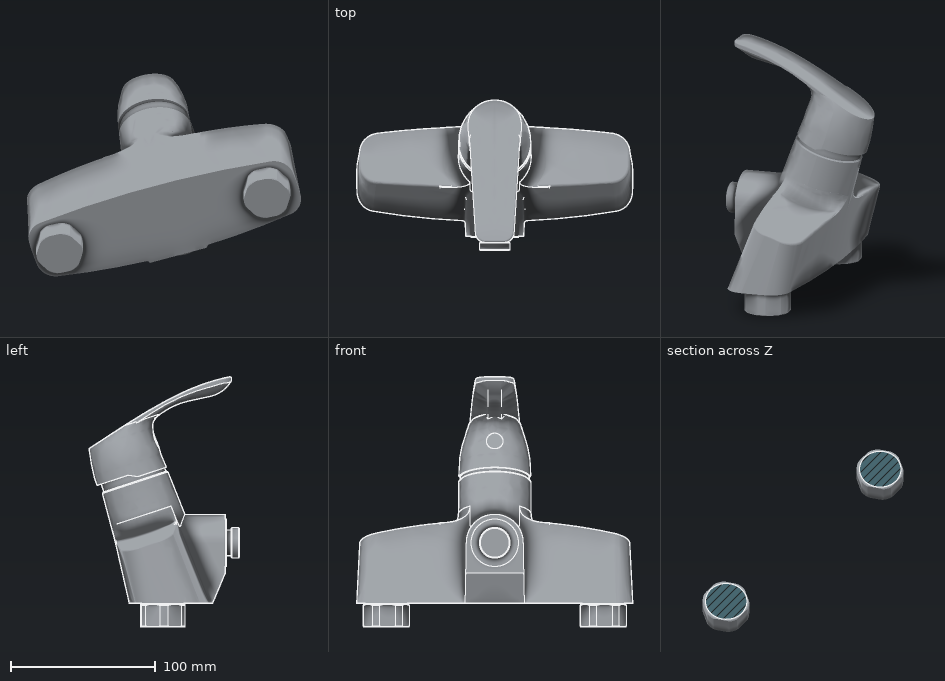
import cadquery as cq
import math

tilt = 18.26
tilt_sin = math.sin(math.radians(tilt))
tilt_cos = math.cos(math.radians(tilt))

body_loft_height = 70
base_front, base_front_corner = -33.0, -24.1
base_back, base_back_corner = 23.4, 17.0
base_side, base_corner_x = 95.53, 94.5
top_front, top_front_corner = -26.3, -18.8
top_back, top_back_corner = 16.0, 13.1
top_side, top_corner_x = 92.2, 91.4
body_corner_radius = 13.5
crown_height = 52
crown_radius = 455
body_edge_radius = 2

column_length = 40
column_top_half_width, column_top_half_depth = 25.1, 23.9
column_base_half_width, column_base_half_depth = 25.3, 26.3
column_edge_chamfer = 0.8
seam_y, seam_z = 19.3, 84.2
seam_height = seam_y * tilt_sin + seam_z * tilt_cos
flare_height, flare_outer = 12, 42
flare_depth = 6
ring_inset, ring_height = 1.2, 8

hub_radius = 19.7
hub_base_half_width = 20.5
hub_z = 41.9
hub_face_y = -43.3
hub_inner_y = 5
hub_chamfer_z = 21
hub_foot_y = -34.5
hub_edge_radius = 0.6
hub_blend_radius = 1.8
insert_diameter, insert_height = 32.8, 0.6
knob_neck_diameter = 18
knob_diameter = 21.2
knob_neck_end_y, knob_end_y = -47.3, -53.06
knob_chamfer = 0.6

nut_spacing = 150
nut_across_flats, nut_round_diameter = 30.4, 32.4
nut_turn = 33.3
nut_bottom, nut_top = -16.2, -0.9
nut_chamfer = 0.6
nut_collar_diameter = 29

skirt_front_height, skirt_back_height = 2.6, 5.6
lever_tip_y = -47.6
handle_top_z = 156.94
lever_back_y = 51.0
handle_top_points = [
    (lever_tip_y, handle_top_z),
    (-28, 151.7),
    (0.5, 138.6),
    (27.3, 122.5),
    (lever_back_y, 107),
]
lever_half_tip, lever_half_back = 13.0, 19.2
lever_sections = [
    (lever_tip_y, lever_half_tip, 153.7, 154.0),
    (-46.1, 13.1, 153.3, 151.7),
    (-21.7, 14.7, 146.3, 140.6),
    (4, 16.2, 133.9, 129.0),
    (28, 17.8, 119.0, 114.0),
]
keel_half_width = 4.5
lever_open_z = 180
cap_sections = [
    (0, 25.1, 24.6, 25.0),
    (18, 24.2, 23.2, 25.2),
    (29, 21.8, 22.8, 23.5),
    (35, 19.8, 25.0, 22.3),
    (39, 18.0, 32.0, 21.0),
]
cap_clearance = 40
skirt_step_half_length = 3
lever_tip_radius = 7
lever_edge_radius = 1.2
button_diameter, button_proud = 11.5, 0.15
plane_tolerance = 0.01
button_height = 22


def tilted_plane(origin):
    """Plane across the column axis: local x is X, local y points to the back."""
    return cq.Plane(origin=origin, xDir=(1, 0, 0), normal=(0, tilt_sin, tilt_cos))


body_frame = tilted_plane((0, 0, 0))
seam_frame = tilted_plane((0, seam_y, seam_z))


def bowed_outline(plane, front, front_corner, back, back_corner, side, corner_x):
    """Four-sided outline with outward-bowed sides."""
    side_y = (front_corner + back_corner) / 2
    return (
        cq.Workplane(plane)
        .moveTo(-corner_x, front_corner)
        .threePointArc((0, front), (corner_x, front_corner))
        .threePointArc((side, side_y), (corner_x, back_corner))
        .threePointArc((0, back), (-corner_x, back_corner))
        .threePointArc((-side, side_y), (-corner_x, front_corner))
        .close()
        .wires()
        .val()
    )


def body_prism():
    """Tapered bar running past the crown of the body."""
    base = bowed_outline(cq.Plane.XY(), base_front, base_front_corner,
                         base_back, base_back_corner, base_side, base_corner_x)
    top_plane = tilted_plane(body_frame.toWorldCoords((0, 0, body_loft_height)).toTuple())
    top = bowed_outline(top_plane, top_front, top_front_corner,
                        top_back, top_back_corner, top_side, top_corner_x)
    prism = cq.Workplane(cq.Solid.makeLoft([base, top], True))
    return prism.edges("%BSPLINE").fillet(body_corner_radius)


def make_body(prism):
    """Cut the prism to its cylindrical crown and round the top edge."""
    crown_length = 200
    crown_start = body_frame.toWorldCoords((0, -crown_length / 2, crown_height - crown_radius))
    crown = cq.Workplane(cq.Solid.makeCylinder(
        crown_radius, crown_length, crown_start, body_frame.yDir))
    body = prism.intersect(crown)
    return body.faces(">Z").edges().fillet(body_edge_radius)


def ellipse_loft(sections):
    """Loft ellipses (height, half width, front reach, back reach) along the column axis."""
    wires = []
    for height, half_width, front, back in sections:
        centre = seam_frame.toWorldCoords((0, (back - front) / 2, height))
        section = cq.Workplane(tilted_plane(centre.toTuple()))
        wires.append(section.ellipse(half_width, (front + back) / 2).wires().val())
    return cq.Workplane(cq.Solid.makeLoft(wires, len(wires) == 2))


def make_column():
    column = ellipse_loft([
        (-column_length, column_base_half_width, column_base_half_depth, column_base_half_depth),
        (0, column_top_half_width, column_top_half_depth, column_top_half_depth),
    ])
    column = column.faces(">Z").edges().chamfer(column_edge_chamfer)
    ring = (
        cq.Workplane(seam_frame)
        .ellipse(column_top_half_width - ring_inset, column_top_half_depth - ring_inset)
        .extrude(ring_height)
    )
    return column.union(ring)


def make_flare(prism):
    """Concave skirt from the column onto the crown, trimmed to the body's outline."""
    column_radius = column_base_half_width
    crown_drop = crown_radius - math.sqrt(crown_radius**2 - flare_outer**2)
    toe_height = crown_height - seam_height - crown_drop
    profile_plane = cq.Plane(seam_frame.origin, xDir=(1, 0, 0), normal=-seam_frame.yDir)
    flare = (
        cq.Workplane(profile_plane)
        .moveTo(0, toe_height + flare_height)
        .lineTo(column_radius, toe_height + flare_height)
        .spline([(flare_outer, toe_height)], tangents=[(0, -1), (1, 0)], includeCurrent=True)
        .lineTo(flare_outer, toe_height - flare_depth)
        .lineTo(0, toe_height - flare_depth)
        .close()
        .revolve(360, (0, 0, 0), (0, 1, 0))
    )
    return flare.intersect(prism)


def y_cylinder(diameter, start_y, end_y):
    """Cylinder on the hub axis running toward -Y."""
    return cq.Workplane(cq.Solid.makeCylinder(
        diameter / 2, start_y - end_y, cq.Vector(0, start_y, hub_z), cq.Vector(0, -1, 0)))


def make_hub():
    block = (
        cq.Workplane("XZ", origin=(0, hub_inner_y, 0))
        .moveTo(-hub_base_half_width, 0)
        .lineTo(-hub_radius, hub_z)
        .threePointArc((0, hub_z + hub_radius), (hub_radius, hub_z))
        .lineTo(hub_base_half_width, 0)
        .close()
        .extrude(hub_inner_y - hub_face_y)
    )
    block = block.faces("<Y").edges("not <Z").fillet(hub_edge_radius)
    undercut = (
        cq.Workplane("YZ")
        .polyline([(hub_foot_y, 0), (hub_face_y, hub_chamfer_z), (hub_face_y, 0)])
        .close()
        .extrude(2 * hub_base_half_width, both=True)
    )
    return block.cut(undercut)


def make_knob():
    insert = y_cylinder(insert_diameter, hub_face_y + insert_height, hub_face_y - insert_height)
    neck = y_cylinder(knob_neck_diameter, hub_face_y, knob_neck_end_y)
    head = y_cylinder(knob_diameter, knob_neck_end_y, knob_end_y).edges().chamfer(knob_chamfer)
    return insert.union(neck).union(head)


def make_nut(x):
    height = nut_top - nut_bottom
    hexagon = (
        cq.Workplane("XY", origin=(x, 0, nut_bottom))
        .transformed(rotate=(0, 0, nut_turn))
        .polygon(6, nut_across_flats, circumscribed=True)
        .extrude(height)
    )
    rounding = (
        cq.Workplane("XY", origin=(x, 0, nut_bottom))
        .circle(nut_round_diameter / 2)
        .extrude(height)
        .edges()
        .chamfer(nut_chamfer)
    )
    collar = (
        cq.Workplane("XY", origin=(x, 0, nut_bottom))
        .circle(nut_collar_diameter / 2)
        .extrude(-nut_bottom)
    )
    return hexagon.intersect(rounding).union(collar)


def handle_cap(growth=0.0):
    """Cap over the column, flaring forward into the lever, before trimming."""
    return ellipse_loft([
        (height, half_width + growth, front + growth, back + growth)
        for height, half_width, front, back in cap_sections
    ])


def under_handle_top():
    """Everything below the curved upper face of the handle."""
    return (
        cq.Workplane("YZ")
        .moveTo(*handle_top_points[0])
        .spline(handle_top_points[1:], includeCurrent=True)
        .lineTo(lever_back_y, seam_z - cap_clearance)
        .lineTo(lever_tip_y, seam_z - cap_clearance)
        .close()
        .extrude(cap_clearance, both=True)
    )


def above_skirt():
    """Region above the cap's lower edge, which dips toward the front."""
    profile_plane = cq.Plane(seam_frame.origin, xDir=-seam_frame.yDir, normal=(-1, 0, 0))
    return (
        cq.Workplane(profile_plane)
        .polyline([(-cap_clearance, skirt_back_height), (-skirt_step_half_length, skirt_back_height),
                   (skirt_step_half_length, skirt_front_height), (cap_clearance, skirt_front_height),
                   (cap_clearance, 2 * cap_clearance), (-cap_clearance, 2 * cap_clearance)])
        .close()
        .extrude(cap_clearance, both=True)
    )


def on_middle_plane(edge):
    """True for an edge that runs along the X = 0 plane of symmetry."""
    box = edge.BoundingBox()
    return max(abs(box.xmin), abs(box.xmax)) < plane_tolerance


def make_lever(top_region):
    """Tapered blade with a thin rim and a keeled underside."""
    sections = []
    for y, half_width, rim_z, keel_z in lever_sections:
        section = cq.Workplane("XZ", origin=(0, y, 0)).polyline([
            (-half_width, lever_open_z), (-half_width, rim_z), (-keel_half_width, keel_z),
            (keel_half_width, keel_z), (half_width, rim_z), (half_width, lever_open_z)])
        sections.append(section.close().wires().val())
    blade = cq.Workplane(cq.Solid.makeLoft(sections))
    outline = (
        cq.Workplane("XY")
        .polyline([(-lever_half_tip, lever_tip_y), (lever_half_tip, lever_tip_y),
                   (lever_half_back, lever_back_y), (-lever_half_back, lever_back_y)])
        .close()
        .extrude(lever_open_z)
        .edges("|Z and <Y")
        .fillet(lever_tip_radius)
    )
    blade = blade.intersect(outline).intersect(top_region)
    root_y = lever_sections[-1][0]
    least_upward = 0.3
    upper_faces = [face for face in blade.faces().vals() if face.normalAt().z > least_upward]
    rim_edges = [
        edge
        for face in upper_faces
        for edge in face.Edges()
        if edge.Center().y < root_y - plane_tolerance and not on_middle_plane(edge)
    ]
    return blade.newObject([blade.val().fillet(lever_edge_radius, rim_edges)])


def make_button():
    """Round plug set into the front of the cap."""
    centre = seam_frame.toWorldCoords((0, 0, button_height))
    axis = cq.Vector(0, -tilt_cos, tilt_sin)
    rod = cq.Workplane(cq.Solid.makeCylinder(button_diameter / 2, cap_clearance, centre, axis))
    return rod.intersect(handle_cap(button_proud))


def make_handle():
    top_region = under_handle_top()
    cap = handle_cap().intersect(top_region).intersect(above_skirt())
    return cap.union(make_button()).union(make_lever(top_region))


def blend_hub_sides(part):
    """Fillet the steep seams between the hub's flanks and the body's front face."""
    zone_margin = 4
    zone_half_width = hub_base_half_width + zone_margin
    seam_setback = 10
    middle_z, middle_y = hub_z / 2, hub_foot_y + seam_setback
    flank_zone = cq.selectors.BoxSelector(
        (-zone_half_width, middle_y - zone_margin, middle_z - zone_margin),
        (zone_half_width, middle_y + zone_margin, middle_z + zone_margin))
    return part.edges(flank_zone).fillet(hub_blend_radius)


prism = body_prism()
result = make_body(prism).union(make_column()).union(make_flare(prism)).union(make_hub())
result = blend_hub_sides(result)
result = result.union(make_knob()).union(make_handle())
for end in (-1, 1):
    result = result.union(make_nut(end * nut_spacing / 2))